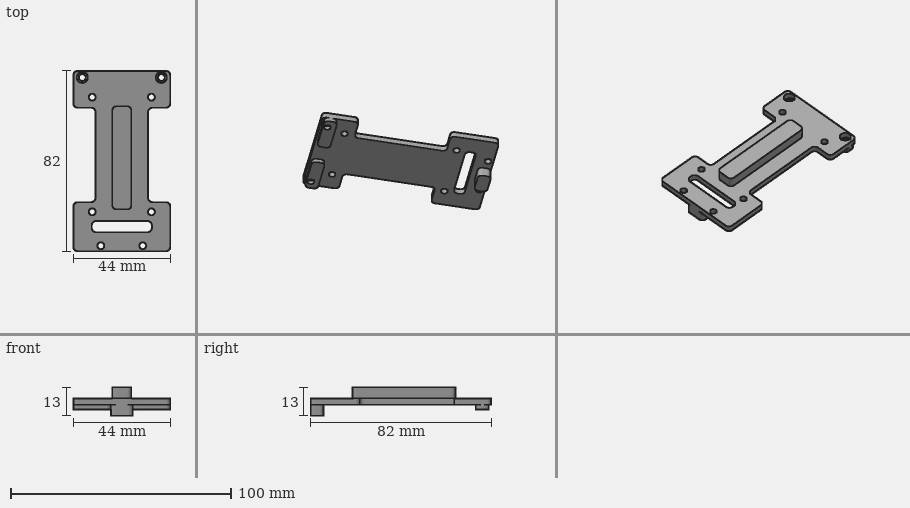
import cadquery as cq

length = 82.0
width = 44.0
plate_thickness = 3.0
corner_radius = 2.0
neck_width = 23.95
rear_panel_length = 16.8
front_panel_length = 22.4
front_y = -length / 2
rear_y = length / 2

bar_width = 8.7
bar_height = 5.0
bar_front_y = -22.0
bar_rear_y = 24.9

foot_length = 6.0
front_foot_width = 10.0
front_foot_height = 5.0
rear_foot_height = 2.1
rear_foot_setback = 1.0
rear_foot_gap = 10.0

hole_diameter = 3.0
counterbore_diameter = 5.0
counterbore_x = 17.95
counterbore_y = 38.0
inner_hole_x = 13.45
rear_hole_y = 29.0
middle_hole_y = -23.05
front_hole_x = 9.5
front_hole_y = -38.45
slot_length = 27.2
slot_width = 5.0
slot_y = -29.8


def rounded_block(block_width, y_min, y_max, z_min, height, center_x=0):
    """Block with rounded vertical corners, placed by its Y limits and underside."""
    block_length = y_max - y_min
    return (
        cq.Workplane("XY", origin=(center_x, y_min + block_length / 2, z_min))
        .rect(block_width, block_length)
        .extrude(height)
        .edges("|Z")
        .fillet(corner_radius)
    )


def make_plate():
    """I-shaped plate with every outer and inner corner rounded."""
    half_width = width / 2
    half_neck = neck_width / 2
    rear_step_y = rear_y - rear_panel_length
    front_step_y = front_y + front_panel_length
    right_side = [
        (half_width, front_y),
        (half_width, front_step_y),
        (half_neck, front_step_y),
        (half_neck, rear_step_y),
        (half_width, rear_step_y),
        (half_width, rear_y),
    ]
    left_side = [(-x, y) for x, y in reversed(right_side)]
    return (
        cq.Workplane("XY")
        .polyline(right_side + left_side)
        .close()
        .extrude(plate_thickness)
        .edges("|Z")
        .fillet(corner_radius)
    )


def make_feet():
    """One central foot at the front and a pair of wide feet at the rear."""
    feet = rounded_block(
        front_foot_width, front_y, front_y + foot_length, -front_foot_height, front_foot_height
    )
    rear_foot_width = (width - rear_foot_gap) / 2
    rear_foot_x = (rear_foot_gap + rear_foot_width) / 2
    rear_foot_end = rear_y - rear_foot_setback
    for side in (-1, 1):
        feet = feet.add(
            rounded_block(
                rear_foot_width,
                rear_foot_end - foot_length,
                rear_foot_end,
                -rear_foot_height,
                rear_foot_height,
                side * rear_foot_x,
            )
        )
    return feet.combine()


def mirrored_pair(x, y, diameter, z_min, height):
    """Two upright cylinders placed symmetrically about the YZ plane."""
    return (
        cq.Workplane("XY", origin=(0, 0, z_min))
        .pushPoints([(-x, y), (x, y)])
        .circle(diameter / 2)
        .extrude(height)
    )


bar = rounded_block(bar_width, bar_front_y, bar_rear_y, plate_thickness, bar_height)
result = make_plate().union(bar).union(make_feet())

hole_positions = [
    (counterbore_x, counterbore_y),
    (inner_hole_x, rear_hole_y),
    (inner_hole_x, middle_hole_y),
    (front_hole_x, front_hole_y),
]
hole_depth = plate_thickness + rear_foot_height
for hole_x, hole_y in hole_positions:
    result = result.cut(mirrored_pair(hole_x, hole_y, hole_diameter, -rear_foot_height, hole_depth))

result = result.cut(
    mirrored_pair(counterbore_x, counterbore_y, counterbore_diameter, 0, plate_thickness)
)

slot = rounded_block(
    slot_length, slot_y - slot_width / 2, slot_y + slot_width / 2, 0, plate_thickness
)
result = result.cut(slot)